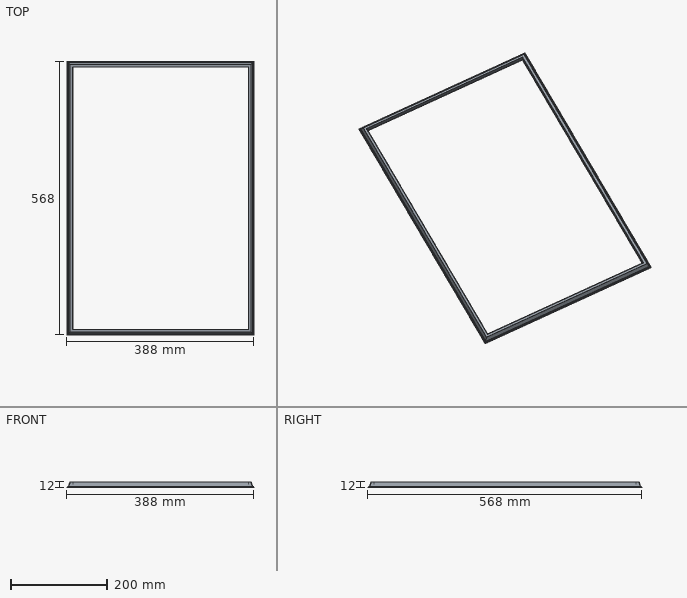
import cadquery as cq

length_x = 388.0
length_y = 568.0
height = 12.0

lip_height = 2.0
lip_inset = 1.5
slope_foot_inset = 3.0
slope_top_inset = 6.0
opening_inset = 12.0


def tapered_frame(bottom_z, bottom_inset, top_z, top_inset):
    """Solid block with four sloped sides between two heights."""
    bottom = cq.Workplane("XY").workplane(offset=bottom_z).rect(
        length_x - 2 * bottom_inset, length_y - 2 * bottom_inset
    )
    top = bottom.workplane(offset=top_z - bottom_z).rect(
        length_x - 2 * top_inset, length_y - 2 * top_inset
    )
    return top.loft(ruled=True)


lip = tapered_frame(0, 0, lip_height, lip_inset)
body = tapered_frame(lip_height, slope_foot_inset, height, slope_top_inset)

opening = cq.Workplane("XY").rect(
    length_x - 2 * opening_inset, length_y - 2 * opening_inset
).extrude(height)

result = lip.union(body).cut(opening)